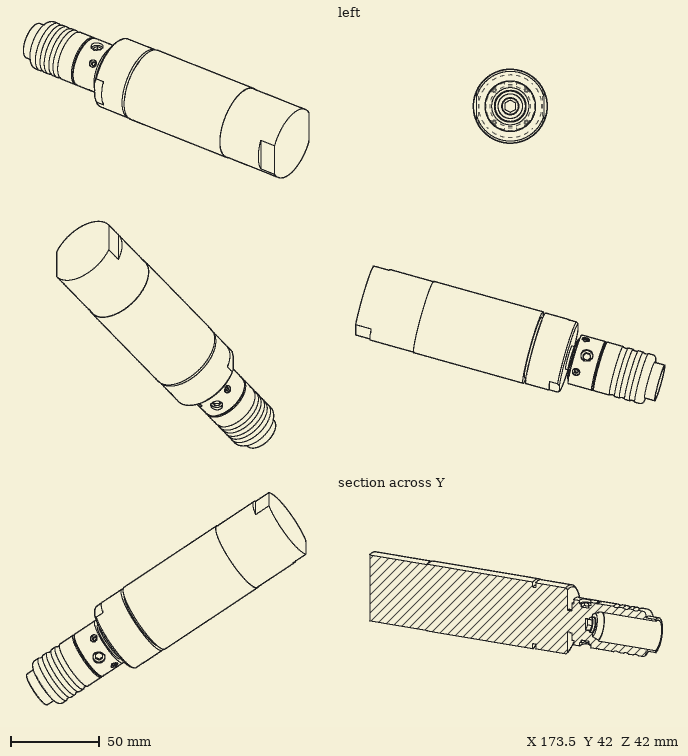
import cadquery as cq
import math

length = 173.5

tube_dia = 21.0
bore_dia = 18.0
bore_depth = 34.7
cone_dia = 17.0
seat_dia = 13.9
seat_depth = 38.2
pilot_dia = 9.0
pilot_depth = 1.7
pilot_chamfer = 0.3
hex_flats = 6.0
hex_depth = 2.6

sleeve_start = 5.9
sleeve_end = 49.8
sleeve_dia = 28.6
sleeve_radius = sleeve_dia / 2
sleeve_fillet = 2.0
grip_start = 10.5
grip_pitch = 5.9
grip_width = 3.1
grip_depth = 0.6
grip_count = 3
ring_start = 34.7
ring_width = 1.2
ring_depth = 0.3

shoulder_dia = 23.0
shoulder_end = 50.8
neck_dia = 14.0
neck_step = 51.9
neck_rear_dia = 13.7

collar_start = 53.5
collar_end = 72.9
collar_dia = 41.5
collar_chamfer = 1.0
collar_flats = 38.0
collar_flat_end = 59.2
gap_dia = 35.5

body_start = 74.5
body_end = 138.6
body_dia = 42.0
cap_dia = 41.5
cap_flats = 36.1
cap_flat_start = 164.3

lock_screw_x = 42.9
lock_screw_dia = 6.8
lock_screw_flats = 4.0
lock_screw_sink = 2.0
lock_socket_depth = 1.7
lock_socket_turn = 0
set_screw_x = 46.3
set_screw_dia = 4.2
set_screw_flats = 2.0
set_screw_sink = 0.9
set_socket_depth = 1.4
set_socket_turn = 90


def cylinder(start, end, dia):
    return cq.Workplane("YZ", origin=(start, 0, 0)).circle(dia / 2).extrude(end - start)


def revolve_about_x(outline):
    return outline.close().revolve(360, (0, 0, 0), (1, 0, 0))


def hexagon(plane, flats, depth):
    """Hexagonal prism with corners on the local x axis of the plane."""
    return plane.polygon(6, flats / math.cos(math.pi / 6)).extrude(depth)


def grip_groove(start, end):
    """Shallow groove around the sleeve with a round bottom."""
    clearance = sleeve_radius + grip_depth
    return revolve_about_x(
        cq.Workplane("XY")
        .moveTo(start, sleeve_radius)
        .threePointArc(((start + end) / 2, sleeve_radius - grip_depth), (end, sleeve_radius))
        .lineTo(end, clearance)
        .lineTo(start, clearance)
    )


def ring_groove():
    """Narrow V groove around the sleeve."""
    end = ring_start + ring_width
    clearance = sleeve_radius + ring_depth
    return revolve_about_x(
        cq.Workplane("XY").polyline([
            (ring_start, sleeve_radius),
            ((ring_start + end) / 2, sleeve_radius - ring_depth),
            (end, sleeve_radius),
            (end, clearance),
            (ring_start, clearance),
        ])
    )


def make_sleeve():
    sleeve = cylinder(sleeve_start, sleeve_end, sleeve_dia).faces("<X").edges().fillet(sleeve_fillet)
    for index in range(grip_count):
        start = grip_start + index * grip_pitch
        sleeve = sleeve.cut(grip_groove(start, start + grip_width))
    return sleeve.cut(ring_groove())


def screw_recess(position, dia, flats, sink, socket_depth, socket_turn):
    """Sunk round hole in the top of the sleeve with a hexagon socket below it."""
    head_plane = cq.Workplane("XY", origin=(position, 0, sleeve_radius - sink))
    hole = head_plane.circle(dia / 2).extrude(2 * sink)
    socket = hexagon(head_plane, flats, -socket_depth)
    socket = socket.rotate((position, 0, 0), (position, 0, 1), socket_turn)
    return hole.union(socket)


def flats_cut(start, end, across_flats):
    """Pair of slabs that leave two flats facing +Y and -Y."""
    slabs = cq.Workplane("XY")
    depth = body_dia / 2
    for side in (-1, 1):
        slab = cq.Workplane("XY").box(end - start, depth, 2 * body_dia)
        slabs = slabs.add(slab.translate(((start + end) / 2, side * (across_flats + depth) / 2, 0)))
    return slabs.combine()


def make_bore():
    pilot_end = seat_depth + pilot_depth
    bore = revolve_about_x(
        cq.Workplane("XY").polyline([
            (0, 0),
            (0, bore_dia / 2),
            (bore_depth, bore_dia / 2),
            (bore_depth, cone_dia / 2),
            (seat_depth, seat_dia / 2),
            (seat_depth, pilot_dia / 2 + pilot_chamfer),
            (seat_depth + pilot_chamfer, pilot_dia / 2),
            (pilot_end, pilot_dia / 2),
            (pilot_end, 0),
        ])
    )
    socket_plane = cq.Workplane(cq.Plane((pilot_end, 0, 0), (0, 0, 1), (1, 0, 0)))
    return bore.union(hexagon(socket_plane, hex_flats, hex_depth))


result = cylinder(0, sleeve_end, tube_dia).union(make_sleeve())
result = result.union(cylinder(sleeve_end, shoulder_end, shoulder_dia))
result = result.union(cylinder(shoulder_end, neck_step, neck_dia))
result = result.union(cylinder(neck_step, collar_start, neck_rear_dia))
collar = cylinder(collar_start, collar_end, collar_dia).faces("<X").chamfer(collar_chamfer)
result = result.union(collar)
result = result.union(cylinder(collar_end, body_start, gap_dia))
result = result.union(cylinder(body_start, body_end, body_dia))
result = result.union(cylinder(body_end, length, cap_dia))

result = result.cut(flats_cut(collar_start, collar_flat_end, collar_flats))
result = result.cut(flats_cut(cap_flat_start, length, cap_flats))
result = result.cut(make_bore())

lock_screw = screw_recess(
    lock_screw_x, lock_screw_dia, lock_screw_flats, lock_screw_sink, lock_socket_depth, lock_socket_turn
)
for angle in (0, 180):
    result = result.cut(lock_screw.rotate((0, 0, 0), (1, 0, 0), angle))

set_screw = screw_recess(
    set_screw_x, set_screw_dia, set_screw_flats, set_screw_sink, set_socket_depth, set_socket_turn
)
for angle in (45, 135, 225, 315):
    result = result.cut(set_screw.rotate((0, 0, 0), (1, 0, 0), angle))